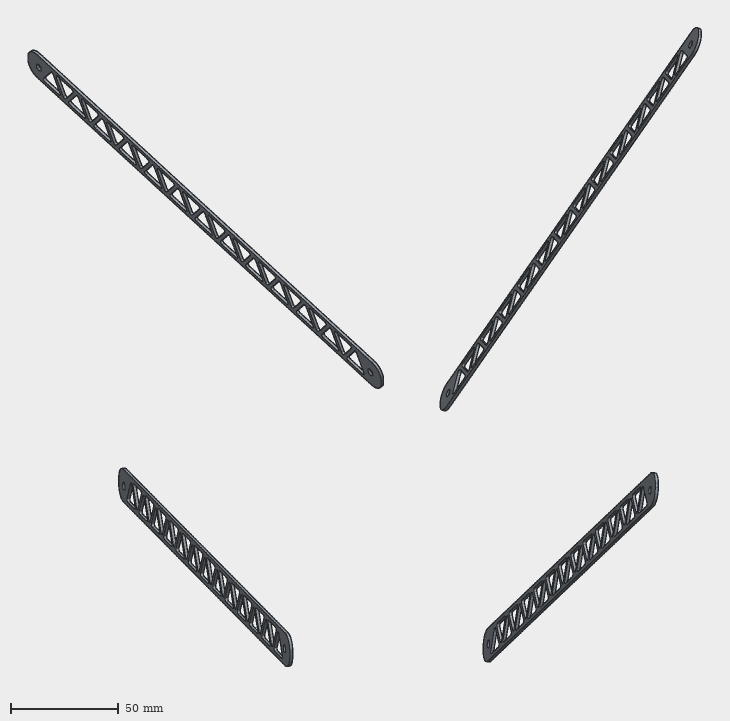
import cadquery as cq
import math

length = 260.0
height = 16.0
thickness = 1.5
end_corner_radius = 7.0
hole_diameter = 3.6

window_angle = math.radians(60)
web_width = 2.0
window_corner_radius = 1.0
upright_count = 13
first_apex_from_end = 17.7

hole_spacing = length - height
window_height = height - 2 * web_width
window_side = window_height / math.sin(window_angle)
window_step = window_side / 2 + web_width / math.sin(window_angle)
first_apex_x = first_apex_from_end - length / 2


def make_bar():
    """Solid bar with its four corners rounded."""
    return (
        cq.Workplane("XZ")
        .rect(length, height)
        .extrude(thickness / 2, both=True)
        .edges("|Y")
        .fillet(end_corner_radius)
    )


def make_pin_holes():
    """Cutters for the two pin holes on the long axis."""
    return (
        cq.Workplane("XZ")
        .pushPoints([(-hole_spacing / 2, 0), (hole_spacing / 2, 0)])
        .circle(hole_diameter / 2)
        .extrude(thickness, both=True)
    )


def make_window(apex_x, direction):
    """Cutter for one rounded triangle; direction is 1 for apex up, -1 for apex down."""
    apex_z = direction * window_height / 2
    corners = [
        (apex_x - window_side / 2, -apex_z),
        (apex_x + window_side / 2, -apex_z),
        (apex_x, apex_z),
    ]
    return (
        cq.Workplane("XZ")
        .polyline(corners)
        .close()
        .extrude(thickness, both=True)
        .edges("|Y")
        .fillet(window_corner_radius)
    )


result = make_bar().cut(make_pin_holes())

for index in range(2 * upright_count - 1):
    window_direction = 1 if index % 2 == 0 else -1
    window_x = first_apex_x + index * window_step
    result = result.cut(make_window(window_x, window_direction))